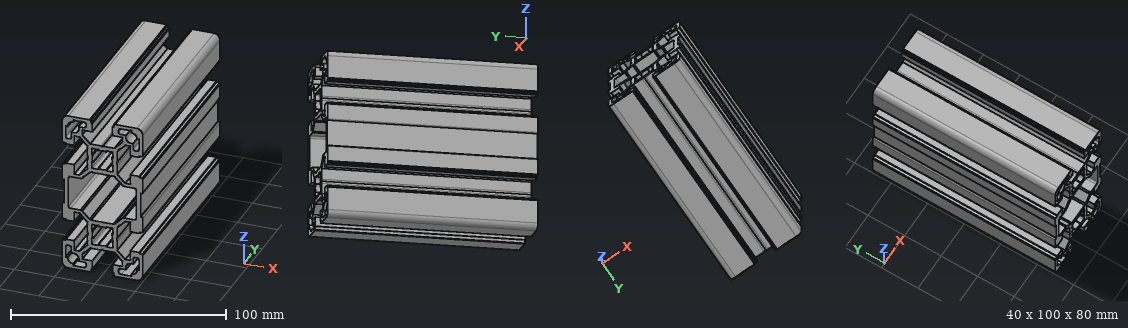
import cadquery as cq

width = 40.0
height = 80.0
length = 100.0
corner_radius = 3.0

cell_half = width / 2
cell_centre_z = height / 2 - cell_half

mouth_half = 5.0
mouth_step_half = 5.5
mouth_bevel_half = 5.7
mouth_top_half = 6.3
bevel_drop = 0.2
step_depth = 1.7
undercut_half = 10.0
undercut_height = 13.9
web_offset = 1.4
core_half = 7.4
guide_half = 1.0
guide_depth = 0.3

channel_half = 5.2
channel_radius = 0.5
rib_half = 2.0
core_bore_radius = 5.0

cavity_wall = 1.8
arm_width = 2.9
arm_end = 12.0
arm_radius = 1.2
cavity_bore_offset = 5.6
cavity_bore_radius = 2.8

chamber_half_width = 16.8
chamber_half_height = 8.3
chamber_radius = 1.0
chamber_bevel = 0.5
recess_half_height = 6.1
recess_depth = 1.0
recess_edge_radius = 0.5


def section():
    """Start a drawing plane on the cross-section, X across and Z up."""
    return cq.Workplane("XZ")


def prism(sketch):
    """Run a section outline along the whole length."""
    return sketch.extrude(length / 2, both=True)


def block(x_size, z_size, x=0.0, z=0.0):
    return prism(section().center(x, z).rect(x_size, z_size))


def cylinder(radius, x=0.0, z=0.0):
    return prism(section().center(x, z).circle(radius))


def t_slot():
    """Slot opening upwards, in a cell centred on the origin."""
    ledge_height = cell_half - step_depth
    right_side = [
        (mouth_top_half, cell_half),
        (mouth_bevel_half, cell_half - bevel_drop),
        (mouth_step_half, ledge_height),
        (mouth_half, ledge_height),
        (mouth_half, undercut_height),
        (undercut_half, undercut_height),
        (undercut_half, undercut_half + web_offset),
        (core_half - web_offset, core_half),
        (guide_half, core_half),
    ]
    left_side = [(-x, z) for x, z in reversed(right_side)]
    guide_bottom = (0, core_half - guide_depth)
    return prism(section().polyline(right_side + [guide_bottom] + left_side).close())


def core_channel():
    """Square channel whose wall ribs end on the core bore."""
    square = block(2 * channel_half, 2 * channel_half).edges("|Y").fillet(channel_radius)
    rib_bars = block(2 * rib_half, 2 * channel_half).union(block(2 * channel_half, 2 * rib_half))
    return square.cut(rib_bars.cut(cylinder(core_bore_radius)))


def corner_cavity():
    """Cavity in the top right corner of a cell centred on the origin."""
    bore_centre = cell_half - cavity_bore_offset
    arm_length = arm_end - cavity_bore_offset
    arm_middle = bore_centre - arm_length / 2
    arm_centre = cell_half - cavity_wall - arm_width / 2
    top_arm = block(arm_length, arm_width, arm_middle, arm_centre)
    side_arm = block(arm_width, arm_length, arm_centre, arm_middle)
    cavity = cylinder(cavity_bore_radius, bore_centre, bore_centre)
    cavity = cavity.union(top_arm.edges("|Y and <X").fillet(arm_radius))
    return cavity.union(side_arm.edges("|Y and <Z").fillet(arm_radius))


def upper_cell_cuts():
    """Openings of the upper cell: three slots, the channel and two cavities."""
    cuts = core_channel()
    for angle in (-90, 0, 90):
        cuts = cuts.union(t_slot().rotate((0, 0, 0), (0, 1, 0), angle))
    cavity = corner_cavity()
    cuts = cuts.union(cavity).union(cavity.mirror("YZ"))
    return cuts.translate((0, 0, cell_centre_z))


def middle_chamber():
    """Chamber between the cells, reaching up and down to both cores."""
    roof = cell_centre_z - core_half
    roof_half = core_half - web_offset
    shoulder_half = roof_half + roof - chamber_half_height
    top_right = [
        (roof_half, roof),
        (shoulder_half, chamber_half_height),
        (chamber_half_width, chamber_half_height),
    ]
    right_side = top_right + [(x, -z) for x, z in reversed(top_right)]
    left_side = [(-x, z) for x, z in reversed(right_side)]
    chamber = prism(section().polyline(right_side + left_side).close())
    chamber = chamber.edges("|Y").edges("not (<X or >X)").chamfer(chamber_bevel)
    return chamber.edges("|Y").edges("<X or >X").fillet(chamber_radius)


def outer_bar():
    """Solid bar with rounded corners and a shallow recess along each side."""
    bar = block(width, height).edges("|Y").fillet(corner_radius)
    for side in (-1, 1):
        recess = block(2 * recess_depth, 2 * recess_half_height, side * width / 2)
        bar = bar.cut(recess)
    inner_zone = cq.selectors.BoxSelector(
        (-width, -length, -height / 4),
        (width, length, height / 4),
    )
    recess_edges = bar.edges("|Y").edges(inner_zone).edges("<X or >X")
    return recess_edges.fillet(recess_edge_radius)


upper_cuts = upper_cell_cuts()
result = (
    outer_bar()
    .cut(upper_cuts)
    .cut(upper_cuts.mirror("XY"))
    .cut(middle_chamber())
)